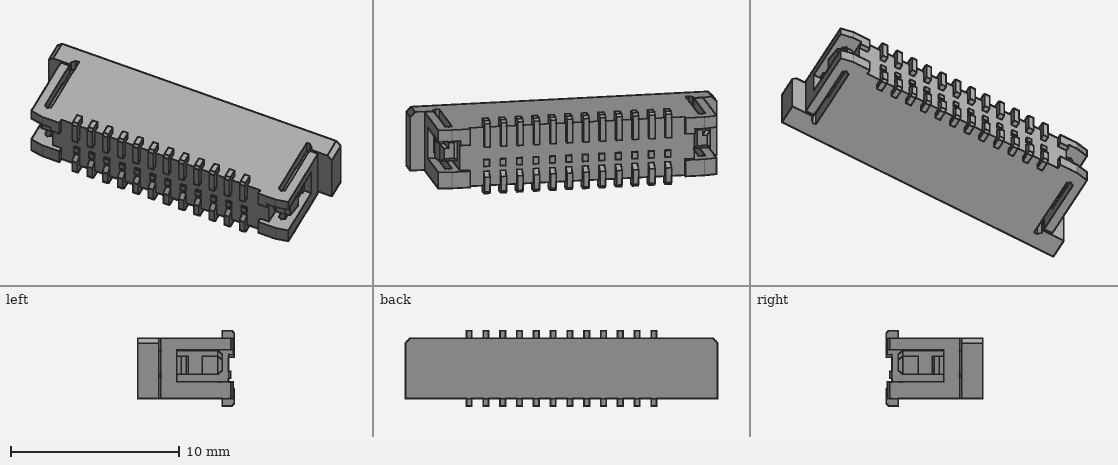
import cadquery as cq


flange_half_width = 9.3
body_half_width = 8.45
housing_height = 3.6
back_y = 5.75
flange_front_y = 4.48
flange_chamfer = 0.3
body_front_y = 0.33
relief_width = 0.11

ear_front_y = 0.05
ear_inner_x = 6.53
ear_taper_x = 7.66
ear_taper_y = 0.2
upper_ear_bottom_z = 2.62

window_inner_x = 7.1
window_back_y = 3.42
window_bottom_z = 1.0
window_top_z = 2.9

slot_inner_x = 7.48
slot_outer_x = 7.89
slot_tip_y = 0.82
slot_shoulder_y = 0.95
slot_back_y = 4.87
slot_back_chamfer = 0.2

pocket_bottom_z = 1.34
insert_inner_x = 7.15
insert_side_x = 7.92
insert_bottom_z = 1.45
insert_step_z = 2.53
insert_top_z = 2.86
nose_front_y = 0.73
nose_back_y = 1.0
nose_outer_x = 8.2
nose_bevel_width = 0.22
nose_bevel_length = 0.26
latch_back_y = 1.9
latch_outer_x = 8.31
barb_front_y = 2.73
barb_crest_front_y = 2.85
barb_crest_back_y = 3.15
barb_outer_x = 8.13

contact_count = 12
contact_pitch = 1.0
contact_width = 0.33
lead_back_y = 0.73
lead_top_z = 4.05
lead_bottom_z = -0.45
lead_chamfer = 0.15
upper_leg_bottom_z = 2.45
lower_leg_slope_z = 0.6
lower_leg_top_z = 0.9
stub_front_y = 0.2
stub_bottom_z = 1.2
stub_top_z = 1.62
contact_root_y = 0.52


def block(x_range, y_range, z_range):
    """Box given by its limits along each axis."""
    (x0, x1), (y0, y1), (z0, z1) = x_range, y_range, z_range
    return cq.Workplane("XY").box(x1 - x0, y1 - y0, z1 - z0, centered=False).translate((x0, y0, z0))


def plan_prism(points, bottom_z, top_z):
    """Upright prism on an outline of (x, y) points."""
    return cq.Workplane("XY").workplane(offset=bottom_z).polyline(points).close().extrude(top_z - bottom_z)


def mirrored_pair(solid):
    """The solid together with its mirror image at the other end."""
    return solid.union(solid.mirror("YZ"))


def make_shell():
    body = block((-body_half_width, body_half_width), (body_front_y, back_y), (0, housing_height))
    flange = block((-flange_half_width, flange_half_width), (flange_front_y, back_y), (0, housing_height))
    flange = flange.edges("|Y and >Z").chamfer(flange_chamfer)
    return body.union(flange)


def make_ear():
    outline = [
        (ear_inner_x, ear_front_y),
        (ear_taper_x, ear_front_y),
        (body_half_width, ear_taper_y),
        (body_half_width, body_front_y),
        (ear_inner_x, body_front_y),
    ]
    lower = plan_prism(outline, 0, window_bottom_z)
    upper = plan_prism(outline, upper_ear_bottom_z, housing_height)
    return lower.union(upper)


def make_end_openings():
    """Window, slot, insert pocket and the relief in front of the flange."""
    window = block(
        (window_inner_x, body_half_width), (0, window_back_y), (window_bottom_z, window_top_z)
    )
    slot_middle_x = (slot_inner_x + slot_outer_x) / 2
    slot = plan_prism(
        [
            (slot_inner_x, slot_shoulder_y),
            (slot_middle_x, slot_tip_y),
            (slot_outer_x, slot_shoulder_y),
            (slot_outer_x, slot_back_y - slot_back_chamfer),
            (slot_outer_x - slot_back_chamfer, slot_back_y),
            (slot_inner_x, slot_back_y),
        ],
        0,
        housing_height,
    )
    pocket = block(
        (window_inner_x, slot_inner_x), (window_back_y, slot_back_y), (pocket_bottom_z, insert_top_z)
    )
    relief = block(
        (slot_outer_x, body_half_width),
        (flange_front_y - relief_width, flange_front_y),
        (0, housing_height),
    )
    return window.union(slot).union(pocket).union(relief)


def make_insert_nose():
    """Stepped front of the insert, bevelled all round towards its tip."""
    outline = [
        (insert_inner_x, insert_bottom_z),
        (nose_outer_x, insert_bottom_z),
        (nose_outer_x, insert_step_z),
        (insert_side_x, insert_step_z),
        (insert_side_x, insert_top_z),
        (insert_inner_x, insert_top_z),
    ]
    base = cq.Workplane("XZ", origin=(0, nose_back_y, 0)).polyline(outline).close()
    nose = base.extrude(nose_back_y - nose_front_y)
    return nose.faces("<Y").chamfer(nose_bevel_length, nose_bevel_width)


def make_insert():
    rail = block(
        (insert_inner_x, insert_side_x), (nose_back_y, window_back_y), (insert_bottom_z, insert_top_z)
    )
    tail = plan_prism(
        [
            (window_inner_x, window_back_y),
            (slot_outer_x, window_back_y),
            (slot_outer_x, slot_back_y - slot_back_chamfer),
            (slot_outer_x - slot_back_chamfer, slot_back_y),
            (window_inner_x, slot_back_y),
        ],
        insert_bottom_z,
        insert_top_z,
    )
    latch = plan_prism(
        [
            (insert_side_x, nose_back_y),
            (nose_outer_x, nose_back_y),
            (latch_outer_x, latch_back_y),
            (insert_side_x, latch_back_y),
        ],
        insert_bottom_z,
        insert_step_z,
    )
    barb = plan_prism(
        [
            (insert_side_x, barb_front_y),
            (barb_outer_x, barb_crest_front_y),
            (barb_outer_x, barb_crest_back_y),
            (insert_side_x, window_back_y),
        ],
        insert_bottom_z,
        insert_step_z,
    )
    return make_insert_nose().union(rail).union(tail).union(latch).union(barb)


def contact_prism(points, x):
    """Flat contact cut to an outline of (y, z) points, centred on x."""
    start = cq.Workplane("YZ", origin=(x - contact_width / 2, 0, 0))
    return start.polyline(points).close().extrude(contact_width)


def make_contact_set(x):
    upper = contact_prism(
        [
            (0, upper_leg_bottom_z),
            (0, lead_top_z - lead_chamfer),
            (lead_chamfer, lead_top_z),
            (lead_back_y, lead_top_z),
            (lead_back_y, housing_height),
            (contact_root_y, housing_height),
            (contact_root_y, upper_leg_bottom_z),
        ],
        x,
    )
    lower = contact_prism(
        [
            (0, lower_leg_slope_z),
            (0, lead_bottom_z + lead_chamfer),
            (lead_chamfer, lead_bottom_z),
            (lead_back_y, lead_bottom_z),
            (lead_back_y, 0),
            (contact_root_y, 0),
            (contact_root_y, lower_leg_top_z),
            (body_front_y, lower_leg_top_z),
        ],
        x,
    )
    stub = block(
        (x - contact_width / 2, x + contact_width / 2),
        (stub_front_y, contact_root_y),
        (stub_bottom_z, stub_top_z),
    )
    return upper.union(lower).union(stub)


result = make_shell().union(mirrored_pair(make_ear()))
result = result.cut(mirrored_pair(make_end_openings()))
result = result.union(mirrored_pair(make_insert()))

first_contact_x = -contact_pitch * (contact_count - 1) / 2
for index in range(contact_count):
    result = result.union(make_contact_set(first_contact_x + index * contact_pitch))